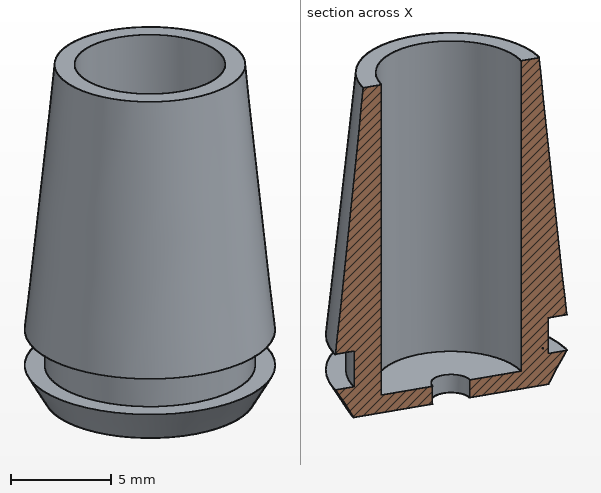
import cadquery as cq

total_height = 18.0
foot_height = 1.71
body_bottom = 3.64

rim_diameter = 12.5
neck_diameter = 10.5
top_diameter = 9.5
bore_diameter = 7.5
hole_diameter = 2.0

floor_height = (top_diameter - bore_diameter) / 2

rim_radius = rim_diameter / 2
neck_radius = neck_diameter / 2
top_radius = top_diameter / 2

outer = (
    cq.Workplane("XZ")
    .moveTo(0, 0)
    .lineTo(neck_radius, 0)
    .lineTo(rim_radius, foot_height)
    .lineTo(neck_radius, foot_height)
    .lineTo(neck_radius, body_bottom)
    .lineTo(rim_radius, body_bottom)
    .lineTo(top_radius, total_height)
    .lineTo(0, total_height)
    .close()
    .revolve(360, (0, 0, 0), (0, 1, 0))
)

bore = (
    cq.Workplane("XY", origin=(0, 0, floor_height))
    .circle(bore_diameter / 2)
    .extrude(total_height - floor_height)
)
hole = cq.Workplane("XY").circle(hole_diameter / 2).extrude(total_height)

result = outer.cut(bore).cut(hole)